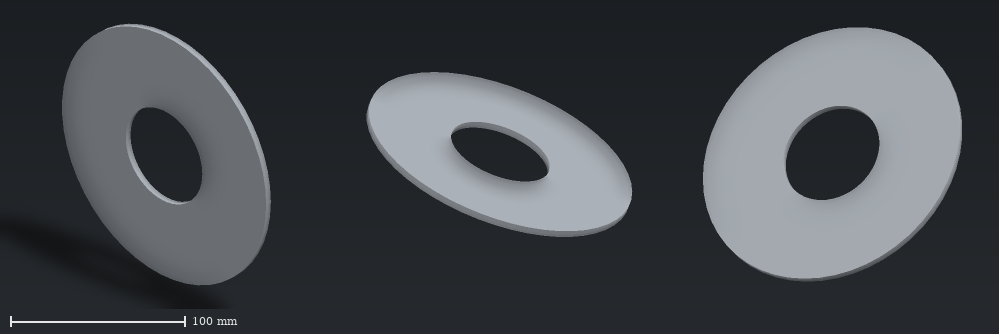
import cadquery as cq

outer_diameter = 160.3
hole_diameter = 60.1
thickness = 4.0

result = (
    cq.Workplane("XZ")
    .circle(outer_diameter / 2)
    .circle(hole_diameter / 2)
    .extrude(thickness)
)